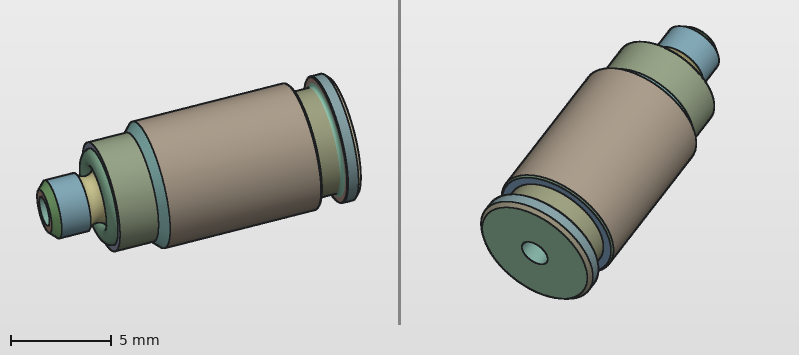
import cadquery as cq
import math

total_length = 15.6
body_diameter = 6.5
groove_diameter = 5.45
nose_diameter = 5.6
tip_diameter = 3.0
bore_diameter = 1.5

flange_width = 0.8
body_start = 2.09
body_end = 10.12
nose_end = 12.6
tip_start = 13.68

flange_rear_chamfer = 0.2
flange_front_chamfer = 0.05
groove_fillet = 0.2
body_rear_chamfer = 0.1
tip_chamfer = 0.39

ring_arc_radius = 0.5
neck_arc_radius = 0.62
ring_crest_radius = 2.0
ring_projection = 0.4
neck_radius = 1.2

body_radius = body_diameter / 2
groove_radius = groove_diameter / 2
nose_radius = nose_diameter / 2
tip_radius = tip_diameter / 2
bore_radius = bore_diameter / 2
body_front_chamfer = body_radius - nose_radius

ring_center = (ring_crest_radius, nose_end + ring_projection - ring_arc_radius)
ring_outer_radius = ring_crest_radius + math.sqrt(ring_arc_radius**2 - (nose_end - ring_center[1]) ** 2)
neck_center_radius = neck_radius + neck_arc_radius
neck_half_span = math.sqrt(neck_arc_radius**2 - (neck_center_radius - tip_radius) ** 2)
neck_center = (neck_center_radius, tip_start - neck_half_span)


def crease_point():
    """Inner crossing of the ring arc and the neck arc."""
    dr = neck_center[0] - ring_center[0]
    dy = neck_center[1] - ring_center[1]
    spacing = math.hypot(dr, dy)
    along = (spacing**2 + ring_arc_radius**2 - neck_arc_radius**2) / (2 * spacing)
    across = math.sqrt(ring_arc_radius**2 - along**2)
    radius = ring_center[0] + (along * dr - across * dy) / spacing
    distance = ring_center[1] + (along * dy + across * dr) / spacing
    return radius, distance


def at(radius, distance):
    """Sketch point for a radius and a distance from the rear end."""
    return radius, total_length / 2 - distance


def half_profile():
    crease = crease_point()
    fillet_mid = groove_fillet * (1 - math.sqrt(0.5))
    return (
        cq.Workplane("XY")
        .moveTo(*at(bore_radius, 0))
        .lineTo(*at(body_radius - flange_rear_chamfer, 0))
        .lineTo(*at(body_radius, flange_rear_chamfer))
        .lineTo(*at(body_radius, flange_width - flange_front_chamfer))
        .lineTo(*at(body_radius - flange_front_chamfer, flange_width))
        .lineTo(*at(groove_radius + groove_fillet, flange_width))
        .threePointArc(
            at(groove_radius + fillet_mid, flange_width + fillet_mid),
            at(groove_radius, flange_width + groove_fillet),
        )
        .lineTo(*at(groove_radius, body_start))
        .lineTo(*at(body_radius - body_rear_chamfer, body_start))
        .lineTo(*at(body_radius, body_start + body_rear_chamfer))
        .lineTo(*at(body_radius, body_end))
        .lineTo(*at(nose_radius, body_end + body_front_chamfer))
        .lineTo(*at(nose_radius, nose_end))
        .lineTo(*at(ring_outer_radius, nose_end))
        .threePointArc(at(ring_crest_radius, nose_end + ring_projection), at(*crease))
        .threePointArc(at(neck_radius, neck_center[1]), at(tip_radius, tip_start))
        .lineTo(*at(tip_radius, total_length - tip_chamfer))
        .lineTo(*at(tip_radius - tip_chamfer, total_length))
        .lineTo(*at(bore_radius, total_length))
        .close()
    )


result = half_profile().revolve(360, (0, 0, 0), (0, 1, 0))